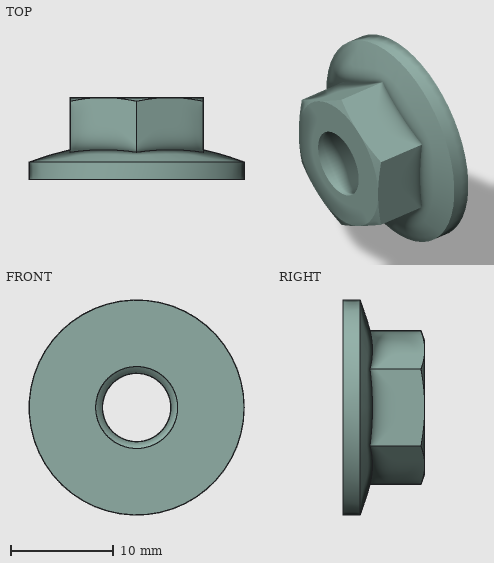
import math

import cadquery as cq

height = 8.0
flange_diameter = 21.0
rim_thickness = 1.7
hexagon_sides = 6
across_flats = 13.0
bore_diameter = 6.65
countersink_diameter = 8.0
crown_angle = 20.0
dome_height = 2.9

flange_radius = flange_diameter / 2
flat_radius = across_flats / 2
corner_radius = flat_radius / math.cos(math.pi / hexagon_sides)
bore_radius = bore_diameter / 2
countersink_radius = countersink_diameter / 2
countersink_depth = countersink_radius - bore_radius


def dome_sphere_radius():
    """Radius of a sphere centred on the axis through the rim edge and the flat's foot."""
    rise = dome_height - rim_thickness
    centre_drop = (flange_radius**2 - flat_radius**2 - rise**2) / (2 * rise)
    return math.hypot(flange_radius, centre_drop)


def revolve_about_axis(profile):
    """Turn a closed (radius, y) profile around the nut axis."""
    return profile.close().revolve(360, (0, 0, 0), (0, 1, 0))


def make_flange():
    """Round flange with a cylindrical rim and a spherical upper side."""
    sphere_radius = dome_sphere_radius()
    centre_y = rim_thickness - math.sqrt(sphere_radius**2 - flange_radius**2)
    mid_radius = flange_radius / 2
    mid_y = centre_y + math.sqrt(sphere_radius**2 - mid_radius**2)
    profile = (
        cq.Workplane("XY")
        .lineTo(flange_radius, 0)
        .lineTo(flange_radius, rim_thickness)
        .threePointArc((mid_radius, mid_y), (0, centre_y + sphere_radius))
    )
    return revolve_about_axis(profile)


def make_hexagon():
    """Hexagonal prism with corners on +/-Z and a conical chamfer at its free end."""
    prism = (
        cq.Workplane("XZ")
        .transformed(rotate=(0, 0, 90))
        .polygon(hexagon_sides, 2 * corner_radius)
        .extrude(-height)
    )
    corner_drop = (corner_radius - flat_radius) * math.tan(math.radians(crown_angle))
    envelope = (
        cq.Workplane("XY")
        .lineTo(corner_radius, 0)
        .lineTo(corner_radius, height - corner_drop)
        .lineTo(flat_radius, height)
        .lineTo(0, height)
    )
    return prism.intersect(revolve_about_axis(envelope))


def make_bore():
    """Through bore with a countersink at the bearing face."""
    profile = (
        cq.Workplane("XY")
        .lineTo(countersink_radius, 0)
        .lineTo(bore_radius, countersink_depth)
        .lineTo(bore_radius, height)
        .lineTo(0, height)
    )
    return revolve_about_axis(profile)


result = make_flange().union(make_hexagon()).cut(make_bore())